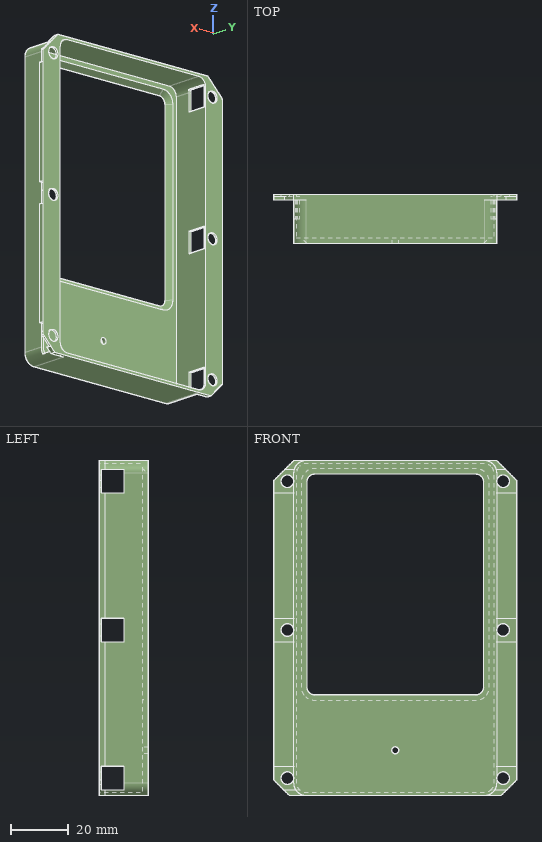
import cadquery as cq

width = 84.3
depth = 17.1
height = 116.0

body_width = 70.3
body_corner_radius = 4.3
wall = 1.0
front_thickness = 2.0

flange_thickness = 2.0
top_chamfer = 7.0
bottom_chamfer = 5.5

window_width = 61.0
window_height = 76.4
window_top_margin = 4.8
window_corner_radius = 2.5
window_flare_angle = 45
small_hole_diameter = 2.3
small_hole_z = -42.4

screw_hole_diameter = 4.3
screw_hole_x = 37.4
screw_hole_rows = (50.8, -0.7, -52.0)
pocket_height = 8.1
pocket_depth = 7.8
pocket_floor = 0.8

back_y = depth / 2
front_y = -depth / 2


def block(size_x, size_z, y_start, y_end, center_z=0):
    """Block centred on X = 0 that spans y_start to y_end."""
    length_y = y_end - y_start
    return cq.Workplane("XY").box(size_x, length_y, size_z).translate((0, y_start + length_y / 2, center_z))


def through_hole(diameter, x, z):
    """Cylinder along Y that passes through the full depth."""
    return cq.Workplane("XZ", origin=(x, back_y, z)).circle(diameter / 2).extrude(depth)


def make_flange():
    plate = block(width, height, back_y - flange_thickness, back_y)
    plate = plate.edges("|Y and >Z").chamfer(top_chamfer)
    return plate.edges("|Y and <Z").chamfer(bottom_chamfer)


def make_shell():
    """Rounded box with its back left open, joined to the flange."""
    body = block(body_width, height, front_y, back_y).edges("|Y").fillet(body_corner_radius)
    cavity = block(body_width - 2 * wall, height - 2 * wall, front_y + front_thickness, back_y)
    cavity = cavity.edges("|Y").fillet(body_corner_radius - wall)
    return body.union(make_flange()).cut(cavity)


def make_window():
    """Rounded window that flares outward toward the back from its sharp rim on the front face."""
    center_z = height / 2 - window_top_margin - window_height / 2
    rim = cq.Sketch().rect(window_width, window_height).vertices().fillet(window_corner_radius)
    front_plane = cq.Plane(origin=(0, front_y, center_z), xDir=(1, 0, 0), normal=(0, 1, 0))
    return cq.Workplane(front_plane).placeSketch(rim).extrude(front_thickness, taper=-window_flare_angle)


result = make_shell().cut(make_window())
result = result.cut(through_hole(small_hole_diameter, 0, small_hole_z))

pocket_back_y = back_y - pocket_floor
for row_z in screw_hole_rows:
    result = result.cut(block(width, pocket_height, pocket_back_y - pocket_depth, pocket_back_y, row_z))
    for side in (-1, 1):
        result = result.cut(through_hole(screw_hole_diameter, side * screw_hole_x, row_z))